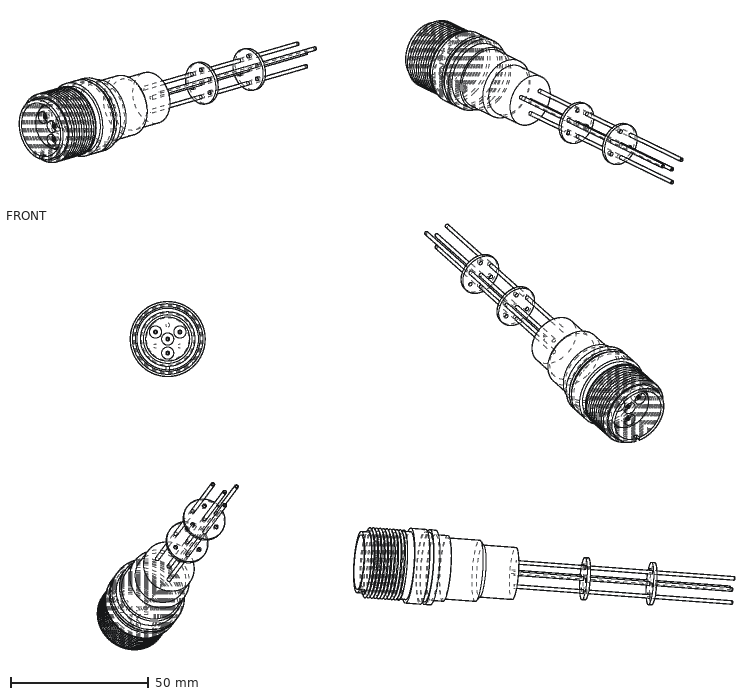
import cadquery as cq
import math

LENGTH = 138.5

NOSE_RADIUS, NOSE_END = 11.2, 2.5
NECK_RADIUS, NECK_END = 12.5, 18.1
FLANGE_RADIUS, FLANGE_END = 13.7, 27.4
SHOULDER_RADIUS, SHOULDER_END = 12.0, 32.0
BARREL_RADIUS, BARREL_END = 11.2, 43.9
TAIL_RADIUS, TAIL_END = 9.5, 57.5
BARREL_TAPER_LENGTH = 1.4

GROOVE_RADIUS = 12.7
GROOVE_START, GROOVE_END = 23.7, 25.2

RIDGE_COUNT = 11
RIDGE_PITCH = 1.2
RIDGE_CREST_RADIUS = 12.9
RIDGE_ROOT_RADIUS = 11.8

MOUTH_RADIUS = 10.0
INSERT_FACE_RADIUS, INSERT_FACE_DEPTH = 8.0, 5.4
INSERT_STEP_RADIUS, INSERT_STEP_DEPTH = 8.9, 6.9
INSERT_TAPER_START, INSERT_TAPER_END = 8.3, 9.7
KEY_WIDTH = 1.4
KEY_DEPTH = 2.0

CONTACT_CIRCLE_RADIUS = 5.1
CONTACT_COUNT = 3
FIRST_CONTACT_ANGLE = 30.0
SOCKET_RADIUS = 2.2
SOCKET_DEPTH = 2.8
PIN_RECESS = 0.7
WIRE_RADIUS = 0.7
WIRE_TIP_CHAMFER = 0.3

DISC_RADIUS = 7.8
DISC_THICKNESS = 1.2
DISC_CENTERS = (83.8, 108.4)
SPARE_HOLE_RADIUS = 0.7


def rod(radius, start, end, x=0.0, z=0.0):
    """Cylinder along Y between two y positions."""
    return cq.Workplane("XZ", origin=(x, start, z)).circle(radius).extrude(start - end)


def ring_points(first_angle):
    """X, Z places of three points equally spaced around the contact circle."""
    places = []
    for index in range(CONTACT_COUNT):
        angle = math.radians(first_angle + index * 360.0 / CONTACT_COUNT)
        places.append((CONTACT_CIRCLE_RADIUS * math.cos(angle), CONTACT_CIRCLE_RADIUS * math.sin(angle)))
    return places


def shell_profile():
    """Half section of the shell as (radius, y) points, starting and ending on the axis."""
    points = [
        (0, INSERT_FACE_DEPTH),
        (INSERT_FACE_RADIUS, INSERT_FACE_DEPTH),
        (INSERT_FACE_RADIUS, INSERT_STEP_DEPTH),
        (INSERT_STEP_RADIUS, INSERT_STEP_DEPTH),
        (INSERT_STEP_RADIUS, INSERT_TAPER_START),
        (MOUTH_RADIUS, INSERT_TAPER_END),
        (MOUTH_RADIUS, 0),
        (NOSE_RADIUS, 0),
        (NOSE_RADIUS, NOSE_END),
        (RIDGE_ROOT_RADIUS, NOSE_END),
    ]
    for index in range(RIDGE_COUNT):
        ridge_start = NOSE_END + index * RIDGE_PITCH
        points.append((RIDGE_CREST_RADIUS, ridge_start + RIDGE_PITCH / 2))
        points.append((RIDGE_ROOT_RADIUS, ridge_start + RIDGE_PITCH))
    points.pop()
    last_crest = points[-1][1]
    points += [
        (NECK_RADIUS, last_crest),
        (NECK_RADIUS, NECK_END),
        (FLANGE_RADIUS, NECK_END),
        (FLANGE_RADIUS, GROOVE_START),
        (GROOVE_RADIUS, GROOVE_START),
        (GROOVE_RADIUS, GROOVE_END),
        (FLANGE_RADIUS, GROOVE_END),
        (FLANGE_RADIUS, FLANGE_END),
        (SHOULDER_RADIUS, FLANGE_END),
        (SHOULDER_RADIUS, SHOULDER_END),
        (BARREL_RADIUS, SHOULDER_END),
        (BARREL_RADIUS, BARREL_END),
        (TAIL_RADIUS, BARREL_END + BARREL_TAPER_LENGTH),
        (TAIL_RADIUS, TAIL_END),
        (0, TAIL_END),
    ]
    return points


def make_shell():
    """Turned shell with the key notch cut through the lower edge of the mouth."""
    shell = cq.Workplane("XY").polyline(shell_profile()).close().revolve(360, (0, 0, 0), (0, 1, 0))
    notch = cq.Workplane("XY").box(KEY_WIDTH, KEY_DEPTH, NOSE_RADIUS, centered=(True, False, False))
    return shell.cut(notch.translate((0, 0, -NOSE_RADIUS)))


def make_contact(x, z):
    """Wire running from inside the socket to the far end, with both tips chamfered."""
    wire = rod(WIRE_RADIUS, INSERT_FACE_DEPTH + PIN_RECESS, LENGTH, x, z)
    return wire.faces("|Y").chamfer(WIRE_TIP_CHAMFER)


def make_disc(center):
    """Spacer disc with three spare holes midway between the outer wires."""
    start = center - DISC_THICKNESS / 2
    end = center + DISC_THICKNESS / 2
    disc = rod(DISC_RADIUS, start, end)
    for x, z in ring_points(FIRST_CONTACT_ANGLE + 180.0 / CONTACT_COUNT):
        disc = disc.cut(rod(SPARE_HOLE_RADIUS, start, end, x, z))
    return disc


contact_places = [(0.0, 0.0)] + ring_points(FIRST_CONTACT_ANGLE)

result = make_shell()
for x, z in contact_places:
    result = result.cut(rod(SOCKET_RADIUS, INSERT_FACE_DEPTH, INSERT_FACE_DEPTH + SOCKET_DEPTH, x, z))
for center in DISC_CENTERS:
    result = result.union(make_disc(center))
for x, z in contact_places:
    result = result.union(make_contact(x, z))